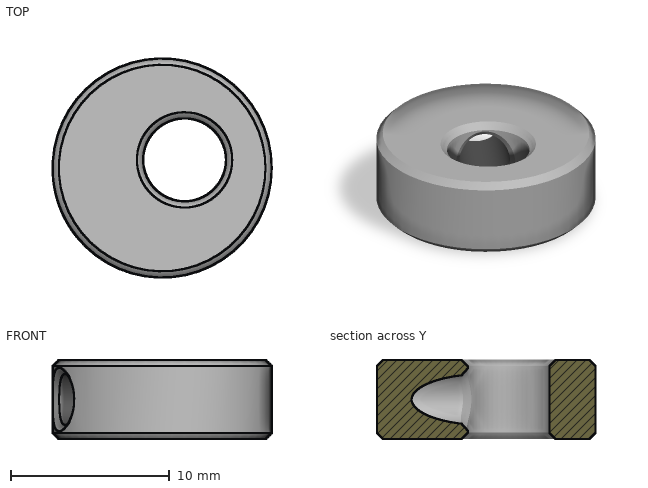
import cadquery as cq
import math

DISC_DIAMETER = 13.8
DISC_HEIGHT = 5.0
BORE_DIAMETER = 5.2
BORE_ECCENTRICITY = 1.5
BORE_DIRECTION_DEG = 20.0
SCREW_HOLE_DIAMETER = 3.2
EDGE_CHAMFER = 0.4

bore_angle = math.radians(BORE_DIRECTION_DEG)
bore_x = BORE_ECCENTRICITY * math.cos(bore_angle)
bore_y = BORE_ECCENTRICITY * math.sin(bore_angle)


def make_disc():
    """Round disc centred on the origin with both rims chamfered."""
    bottom = cq.Workplane("XY", origin=(0, 0, -DISC_HEIGHT / 2))
    disc = bottom.circle(DISC_DIAMETER / 2).extrude(DISC_HEIGHT)
    return disc.faces("|Z").edges().chamfer(EDGE_CHAMFER)


def make_bore_cutter():
    """Eccentric through bore, widened by a chamfer at both faces."""
    radius = BORE_DIAMETER / 2
    mouth_radius = radius + EDGE_CHAMFER
    half_height = DISC_HEIGHT / 2
    straight_half = half_height - EDGE_CHAMFER
    profile = (
        cq.Workplane("XZ")
        .moveTo(0, -half_height)
        .lineTo(mouth_radius, -half_height)
        .lineTo(radius, -straight_half)
        .lineTo(radius, straight_half)
        .lineTo(mouth_radius, half_height)
        .lineTo(0, half_height)
        .close()
    )
    return profile.revolve(360, (0, 0), (0, 1)).translate((bore_x, bore_y, 0))


def make_screw_hole_cutter():
    """Radial hole running from the thick side of the rim to the bore axis."""
    hole = (
        cq.Workplane("YZ", origin=(BORE_ECCENTRICITY, 0, 0))
        .circle(SCREW_HOLE_DIAMETER / 2)
        .extrude(-(BORE_ECCENTRICITY + DISC_DIAMETER / 2))
    )
    return hole.rotate((0, 0, 0), (0, 0, 1), BORE_DIRECTION_DEG)


def chamfer_screw_hole_ends(body):
    """Break both edges of the screw hole, at the curved rim and at the bore wall."""
    end_offsets = (-DISC_DIAMETER / 2, BORE_ECCENTRICITY - BORE_DIAMETER / 2)
    for offset in end_offsets:
        end_point = (offset * math.cos(bore_angle), offset * math.sin(bore_angle), 0)
        end_edge = body.edges(cq.selectors.NearestToPointSelector(end_point))
        body = end_edge.chamfer(EDGE_CHAMFER)
    return body


disc_with_holes = make_disc().cut(make_bore_cutter()).cut(make_screw_hole_cutter())
result = chamfer_screw_hole_ends(disc_with_holes)